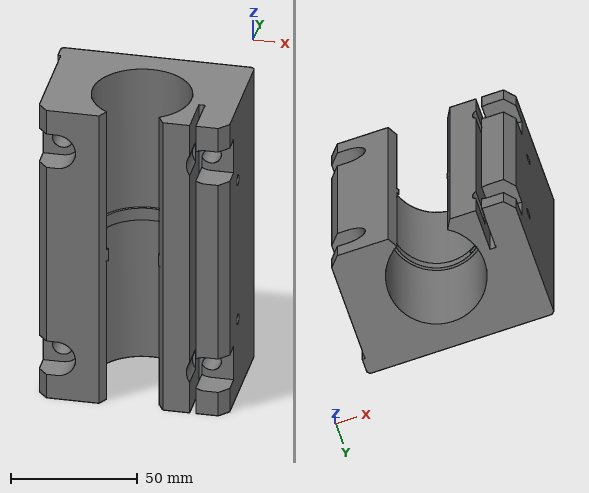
import cadquery as cq
import math

length = 130.0
width = 78.0
depth = 51.0
right_x = width / 2
left_x = -width / 2
back_y = depth / 2
front_y = -depth / 2

ledge_height = 1.2
ledge_width = 6.6
back_chamfer = 1.0
front_chamfer_x = 3.8
front_chamfer_y = 4.2

bore_diameter = 40.0
rib_diameter = 38.0
rib_length = 5.3
bore_y = front_y + 20.9
mouth_half_width = 12.9
mouth_flare = math.radians(30)

slot_x = 25.0
slot_width = 2.5
slot_depth = 17.2

mount_x = 29.9
mount_z = 46.8
mount_diameter = 8.3
pocket_width = 15.1
pocket_depth = 11.3

screw_diameter = 4.2
screw_y = -6.1
screw_z = 31.5

radial_diameter = 4.2
radial_angle = math.radians(32)


def make_block():
    side_x = left_x + ledge_height
    ledge_y = back_y - ledge_width
    outline = [
        (left_x + back_chamfer, back_y),
        (right_x - back_chamfer, back_y),
        (right_x, back_y - back_chamfer),
        (right_x, front_y + front_chamfer_y),
        (right_x - front_chamfer_x, front_y),
        (side_x + front_chamfer_x, front_y),
        (side_x, front_y + front_chamfer_y),
        (side_x, ledge_y),
        (left_x, ledge_y),
        (left_x, back_y - back_chamfer),
    ]
    return cq.Workplane("XY").polyline(outline).close().extrude(length / 2, both=True)


def make_bore():
    bore = cq.Workplane("XY").center(0, bore_y).circle(bore_diameter / 2)
    bore = bore.extrude(length / 2, both=True)
    rib = (
        cq.Workplane("XY")
        .center(0, bore_y)
        .circle(bore_diameter / 2)
        .circle(rib_diameter / 2)
        .extrude(rib_length / 2, both=True)
    )
    return bore.cut(rib)


def make_mouth():
    inner_half_width = mouth_half_width - (bore_y - front_y) * math.tan(mouth_flare)
    outline = [
        (-mouth_half_width, front_y),
        (mouth_half_width, front_y),
        (inner_half_width, bore_y),
        (-inner_half_width, bore_y),
    ]
    return cq.Workplane("XY").polyline(outline).close().extrude(length / 2, both=True)


def make_clamping_slot():
    slot = cq.Workplane("XY").box(slot_width, slot_depth, length)
    return slot.translate((slot_x, front_y + slot_depth / 2, 0))


def make_mount(side, z):
    """Through hole and round-ended pocket; side is -1 (left) or 1 (right)."""
    face = cq.Workplane("XZ", origin=(side * mount_x, front_y, z))
    hole = face.circle(mount_diameter / 2).extrude(-depth)
    round_end = face.circle(pocket_width / 2).extrude(-pocket_depth)
    run_out = width / 2 - mount_x
    channel = face.center(side * run_out / 2, 0).rect(run_out, pocket_width)
    return hole.union(round_end).union(channel.extrude(-pocket_depth))


def make_screw_hole(z):
    hole = cq.Workplane("YZ", origin=(0, screw_y, z))
    return hole.circle(screw_diameter / 2).extrude(right_x)


def make_radial_hole():
    direction = cq.Vector(math.sin(radial_angle), math.cos(radial_angle), 0)
    return cq.Workplane(
        cq.Solid.makeCylinder(radial_diameter / 2, depth, cq.Vector(0, bore_y, 0), direction)
    )


result = make_block().cut(make_bore()).cut(make_mouth()).cut(make_clamping_slot())
for z_side in (-1, 1):
    for x_side in (-1, 1):
        result = result.cut(make_mount(x_side, z_side * mount_z))
    result = result.cut(make_screw_hole(z_side * screw_z))
result = result.cut(make_radial_hole())